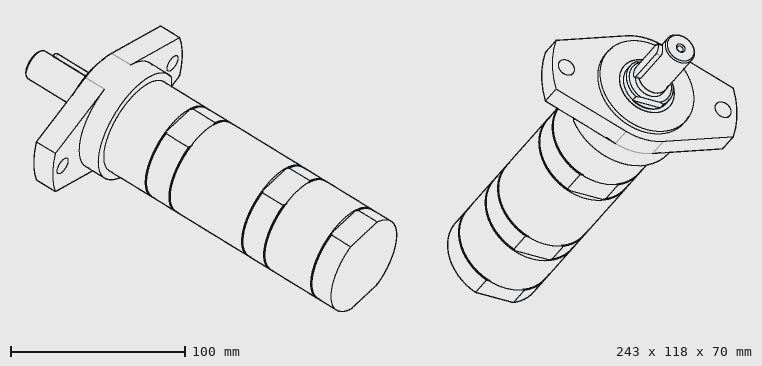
import cadquery as cq
import math


SHAFT_DIA = 18.7
SEAT_DIA = 19.0
SHAFT_LEN = 35.7
SHAFT_CHAMFER_LEN = 1.0
SHAFT_END_DIA = 17.0
CENTRE_DIA = 4.0
CENTRE_MOUTH_DIA = 5.5
CENTRE_DEPTH = 9.7
CENTRE_TIP_ANGLE = 118.0

KEY_START = 4.4
KEY_END = 36.7
KEY_WIDTH = 6.3
KEY_TOP = 12.2
KEY_BOTTOM = 6.3

COLLAR_START = 39.5
COLLAR_DIA = 30.0
COLLAR_CHAMFER_LEN = 1.5
COLLAR_CHAMFER_DEPTH = 0.7
COLLAR_ACROSS_FLATS = 24.0
RECESS_DIA = 35.0
RECESS_DEPTH = 0.2
COLLAR_BORE_DEPTH = 0.7

BODY_DIA = 60.0
SPIGOT_START = 44.0
BODY_END = 243.0

FLANGE_START = 47.0
PLATE_END = 61.0
FLANGE_END = 75.0
HUB_DIA = 70.0
PLATE_LENGTH = 118.0
PLATE_CORNER_Z = 16.8
MOUNT_HOLE_DIA = 10.2
MOUNT_HOLE_SPACING = 100.0
HUB_FLAT_START = 69.0
HUB_FLAT_Y = 31.8

BODY_FLATS = [(105.7, 124.0), (177.0, 194.0), (228.0, BODY_END)]
BODY_ACROSS_FLATS = 55.0

GROOVE_WIDTH = 0.7
GROOVE_DIA = 59.3


def cylinder(diameter, start, end):
    """Round bar on the motor axis."""
    return cq.Workplane("YZ", origin=(start, 0, 0)).circle(diameter / 2).extrude(end - start)


def box(x_range, y_range, z_range):
    """Block given by its limits along each axis."""
    sizes = [high - low for low, high in (x_range, y_range, z_range)]
    corner = (x_range[0], y_range[0], z_range[0])
    return cq.Workplane("XY", origin=corner).box(*sizes, centered=False)


def cut_flat_pair(solid, start, end, across_flats, diameter):
    """Mill two parallel flats facing +Z and -Z into a round section."""
    half_flat = across_flats / 2
    for z_range in ((half_flat, diameter), (-diameter, -half_flat)):
        solid = solid.cut(box((start, end), (-diameter, diameter), z_range))
    return solid


def make_plate():
    """Two-ear plate: straight sides tangent to the hub, ends on a common arc."""
    hub_radius = HUB_DIA / 2
    end_radius = PLATE_LENGTH / 2
    corner_y = math.sqrt(end_radius**2 - PLATE_CORNER_Z**2)
    corner_angle = math.atan2(PLATE_CORNER_Z, corner_y)
    tangent_angle = corner_angle + math.acos(hub_radius / end_radius)
    tangent_y = hub_radius * math.cos(tangent_angle)
    tangent_z = hub_radius * math.sin(tangent_angle)
    outline = (
        cq.Workplane("YZ", origin=(FLANGE_START, 0, 0))
        .moveTo(corner_y, -PLATE_CORNER_Z)
        .threePointArc((end_radius, 0), (corner_y, PLATE_CORNER_Z))
        .lineTo(tangent_y, tangent_z)
        .threePointArc((0, hub_radius), (-tangent_y, tangent_z))
        .lineTo(-corner_y, PLATE_CORNER_Z)
        .threePointArc((-end_radius, 0), (-corner_y, -PLATE_CORNER_Z))
        .lineTo(-tangent_y, -tangent_z)
        .threePointArc((0, -hub_radius), (tangent_y, -tangent_z))
        .close()
    )
    plate = outline.extrude(PLATE_END - FLANGE_START)
    holes = (
        cq.Workplane("YZ", origin=(FLANGE_START, 0, 0))
        .pushPoints([(-MOUNT_HOLE_SPACING / 2, 0), (MOUNT_HOLE_SPACING / 2, 0)])
        .circle(MOUNT_HOLE_DIA / 2)
        .extrude(PLATE_END - FLANGE_START)
    )
    return plate.cut(holes)


def make_hub():
    """Round rear part of the flange with a flat on its +Y side."""
    hub = cylinder(HUB_DIA, FLANGE_START, FLANGE_END)
    flat = box((HUB_FLAT_START, FLANGE_END), (HUB_FLAT_Y, HUB_DIA), (-HUB_DIA, HUB_DIA))
    return hub.cut(flat)


def cut_groove(solid, start):
    """Turn one shallow groove into the body."""
    end = start + GROOVE_WIDTH
    ring = cylinder(BODY_DIA, start, end).cut(cylinder(GROOVE_DIA, start, end))
    return solid.cut(ring)


def make_body():
    """Long cylinder with pairs of flats and the grooves at their ends."""
    body = cylinder(BODY_DIA, SPIGOT_START, BODY_END)
    for start, end in BODY_FLATS:
        body = cut_flat_pair(body, start, end, BODY_ACROSS_FLATS, BODY_DIA)
        body = cut_groove(body, start)
        if end < BODY_END:
            body = cut_groove(body, end - GROOVE_WIDTH)
    return body


def make_collar():
    """Collar with a bevelled front edge and two flats along its full length."""
    collar_end = SPIGOT_START + COLLAR_BORE_DEPTH
    collar = cylinder(COLLAR_DIA, COLLAR_START, collar_end)
    collar = collar.faces("<X").chamfer(COLLAR_CHAMFER_DEPTH, COLLAR_CHAMFER_LEN)
    return cut_flat_pair(collar, COLLAR_START, collar_end, COLLAR_ACROSS_FLATS, COLLAR_DIA)


def make_shaft():
    """Bevelled shaft with a countersunk centre hole, revolved about the motor axis."""
    hole_radius = CENTRE_DIA / 2
    mouth_radius = CENTRE_MOUTH_DIA / 2
    countersink_depth = mouth_radius - hole_radius
    tip_depth = hole_radius / math.tan(math.radians(CENTRE_TIP_ANGLE / 2))
    profile = [
        (0, mouth_radius),
        (0, SHAFT_END_DIA / 2),
        (SHAFT_CHAMFER_LEN, SHAFT_DIA / 2),
        (SHAFT_LEN, SHAFT_DIA / 2),
        (SHAFT_LEN, SEAT_DIA / 2),
        (SPIGOT_START, SEAT_DIA / 2),
        (SPIGOT_START, 0),
        (CENTRE_DEPTH + tip_depth, 0),
        (CENTRE_DEPTH, hole_radius),
        (countersink_depth, hole_radius),
    ]
    return cq.Workplane("XY").polyline(profile).close().revolve(360, (0, 0, 0), (1, 0, 0))


def make_key():
    """Parallel key with rounded ends."""
    return (
        cq.Workplane("XZ", origin=((KEY_START + KEY_END) / 2, KEY_TOP, 0))
        .slot2D(KEY_END - KEY_START, KEY_WIDTH)
        .extrude(KEY_TOP - KEY_BOTTOM)
    )


recess = cylinder(RECESS_DIA, SPIGOT_START, SPIGOT_START + RECESS_DEPTH)
bore = cylinder(COLLAR_DIA, SPIGOT_START, SPIGOT_START + COLLAR_BORE_DEPTH)
housing = make_body().union(make_plate()).union(make_hub()).cut(recess).cut(bore)
result = housing.union(make_collar()).union(make_shaft()).union(make_key())